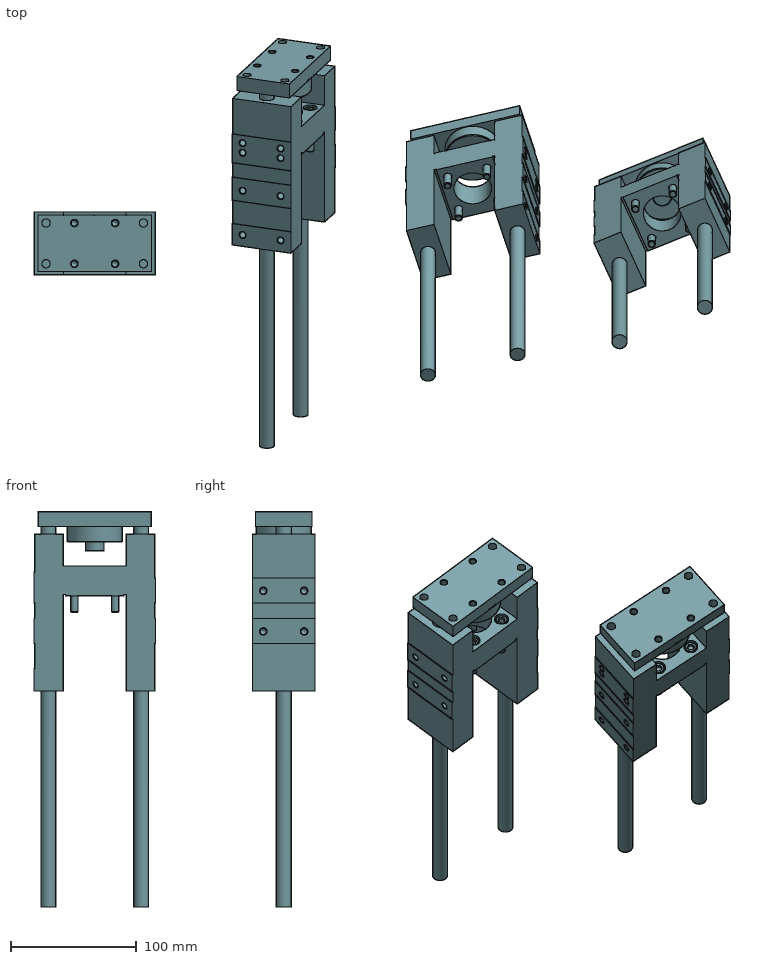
import cadquery as cq
import math


total_height = 315.0
bolt_spacing = 32.5
overlap = 3.0

plate_length = 90.0
plate_width = 45.0
plate_thickness = 12.0
rod_diameter = 12.0
rod_spacing = 74.0
coupling_diameter = 44.0
coupling_depth = 12.3
nose_diameter = 15.0
nose_length = 7.2
coupling_chamfer = 0.5
corner_hole_spacing = 77.5
clearance_diameter = 6.5

slide_gap = 6.0
housing_height = 125.0
housing_width = 50.0
housing_length = 95.8
leg_spacing = 50.0
bridge_drop = 25.2
bridge_thickness = 24.0
bridge_pad_length = 46.5
bridge_pad_height = 1.0
spigot_diameter = 30.0
side_pad_height = 0.5

thread_diameter = 6.0
core_diameter = 5.0
plate_thread_depth = 8.0
side_thread_depth = 9.5
drill_point_angle = 118.0

screw_diameter = 6.0
head_diameter = 10.0
head_height = 6.0
head_chamfer = 0.8
socket_width = 5.0
socket_depth = 2.8
screw_chamfer = 0.5
counterbore_diameter = 11.0
counterbore_depth = 7.0
screw_protrusion = 13.2

plate_bottom = total_height - plate_thickness
housing_top = plate_bottom - slide_gap
housing_bottom = housing_top - housing_height
bridge_top = housing_top - bridge_drop
bridge_bottom = bridge_top - bridge_thickness
head_seat = bridge_top - counterbore_depth
screw_tip = bridge_bottom - screw_protrusion
half_bolt = bolt_spacing / 2
bolt_points = [(x, y) for x in (-half_bolt, half_bolt) for y in (-half_bolt, half_bolt)]
rod_points = [(-rod_spacing / 2, 0), (rod_spacing / 2, 0)]

middle_pad = (38.0, 58.0)
foot_pad = (0.0, 18.3)
left_pads = [foot_pad, middle_pad, (70.2, 94.8)]
right_pads = [middle_pad, (70.2, 90.0)]
left_hole_rows = [9.8, 47.5, 80.0, 88.2]
right_hole_rows = [47.5, 80.0]


def cylinder(diameter, bottom, top, x=0.0, y=0.0):
    """Upright cylinder between two heights."""
    return cq.Workplane("XY", origin=(x, y, bottom)).circle(diameter / 2).extrude(top - bottom)


def threaded_hole(depth):
    """Cutter along -Z from the origin: countersunk mouth, core bore and drill point."""
    core = core_diameter / 2
    mouth = thread_diameter / 2
    point_length = core / math.tan(math.radians(drill_point_angle / 2))
    profile = [
        (0, overlap),
        (mouth, overlap),
        (mouth, 0),
        (core, core - mouth),
        (core, -depth),
        (0, -depth - point_length),
    ]
    return cq.Workplane("XZ").polyline(profile).close().revolve(360, (0, 0), (0, 1))


def make_yoke():
    """Front plate with the coupling below its centre and two guide rods."""
    yoke = cq.Workplane("XY", origin=(0, 0, plate_bottom)).rect(plate_length, plate_width)
    yoke = yoke.extrude(plate_thickness)

    coupling_bottom = plate_bottom - coupling_depth
    coupling = cylinder(coupling_diameter, coupling_bottom, plate_bottom)
    nose = cylinder(nose_diameter, coupling_bottom - nose_length, coupling_bottom)
    for step in (coupling, nose):
        yoke = yoke.union(step.faces("<Z").chamfer(coupling_chamfer))

    for x, y in rod_points:
        rod = cylinder(rod_diameter, 0, plate_bottom, x, y)
        yoke = yoke.union(rod)

    corner_holes = (
        cq.Workplane("XY", origin=(0, 0, plate_bottom))
        .rect(corner_hole_spacing, bolt_spacing, forConstruction=True)
        .vertices()
        .circle(clearance_diameter / 2)
        .extrude(plate_thickness)
    )
    yoke = yoke.cut(corner_holes)

    for x, y in bolt_points:
        yoke = yoke.cut(threaded_hole(plate_thread_depth).translate((x, y, total_height)))
    return yoke


def block(length, bottom, top, x=0.0):
    """Block over the full housing width, centred on x, between two heights."""
    return (
        cq.Workplane("XY", origin=(x, 0, bottom))
        .rect(length, housing_width)
        .extrude(top - bottom)
    )


def make_side_holes(side, rows):
    """Cutters for the threaded holes in one outer side (-1 is left, +1 is right)."""
    face_x = side * (housing_length / 2 + side_pad_height)
    cutter = threaded_hole(side_thread_depth).rotate((0, 0, 0), (0, 1, 0), side * 90)
    return [
        cutter.translate((face_x, y, housing_bottom + row))
        for row in rows
        for y in (-half_bolt, half_bolt)
    ]


def make_housing():
    """H-shaped housing: two legs joined by a bridge, with raised pads on the outer sides."""
    leg_length = (housing_length - leg_spacing) / 2
    leg_x = (housing_length + leg_spacing) / 4
    pad_x = (housing_length + side_pad_height) / 2

    housing = block(leg_spacing, bridge_bottom + bridge_pad_height, bridge_top)
    housing = housing.union(block(bridge_pad_length, bridge_bottom, bridge_top))
    for side, pads in ((-1, left_pads), (1, right_pads)):
        housing = housing.union(block(leg_length, housing_bottom, housing_top, side * leg_x))
        for lower, upper in pads:
            pad = block(side_pad_height, housing_bottom + lower, housing_bottom + upper, side * pad_x)
            housing = housing.union(pad)

    housing = housing.cut(cylinder(spigot_diameter, bridge_bottom, bridge_top))
    for x, y in rod_points:
        housing = housing.cut(cylinder(rod_diameter, housing_bottom, housing_top, x, y))

    for x, y in bolt_points:
        housing = housing.cut(cylinder(clearance_diameter, bridge_bottom, bridge_top, x, y))
        housing = housing.cut(cylinder(counterbore_diameter, head_seat, bridge_top, x, y))

    for side, rows in ((-1, left_hole_rows), (1, right_hole_rows)):
        for hole in make_side_holes(side, rows):
            housing = housing.cut(hole)
    return housing


def make_screw(x, y):
    """Socket-head screw seated in the counterbore at (x, y)."""
    head_top = head_seat + head_height
    shank = cylinder(screw_diameter, screw_tip, head_seat, x, y).faces("<Z").chamfer(screw_chamfer)
    head = cylinder(head_diameter, head_seat, head_top, x, y).faces(">Z").chamfer(head_chamfer)
    screw = shank.union(head)
    socket = (
        cq.Workplane("XY", origin=(x, y, head_top))
        .polygon(6, socket_width, circumscribed=True)
        .extrude(-socket_depth)
    )
    return screw.cut(socket)


housing = make_housing()
yoke = make_yoke()
screws = [make_screw(x, y) for x, y in bolt_points]

result = cq.Compound.makeCompound([housing.val(), yoke.val(), *[screw.val() for screw in screws]])